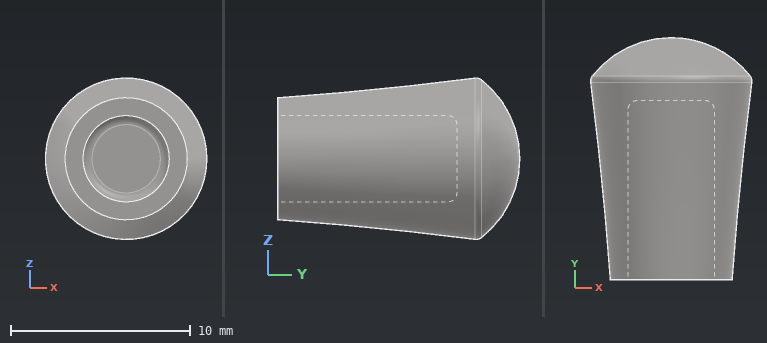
import cadquery as cq
import math

length = 13.5
rim_radius = 4.502
mouth_radius = 3.4
dome_sphere_radius = 5.6
rim_fillet_radius = 0.5
side_arc_radius = 199.8

bore_radius = 2.4
bore_depth = 9.99
bore_floor_radius = 1.9
bore_fillet_radius = bore_radius - bore_floor_radius


def point_towards(start, target, distance):
    """Point at the given distance from start on the line to target."""
    span = math.dist(start, target)
    return tuple(s + (t - s) * distance / span for s, t in zip(start, target))


def body():
    """Outer form: sphere cap, rounded rim and hollow taper, each tangent to the next."""
    apex = (0, length)
    mouth_edge = (mouth_radius, 0)
    dome_center = (0, length - dome_sphere_radius)

    rim_center_x = rim_radius - rim_fillet_radius
    rim_center_y = dome_center[1] + math.sqrt(
        (dome_sphere_radius - rim_fillet_radius) ** 2 - rim_center_x**2
    )
    rim_center = (rim_center_x, rim_center_y)

    span = math.dist(mouth_edge, rim_center)
    center_to_rim = side_arc_radius + rim_fillet_radius
    along = (side_arc_radius**2 - center_to_rim**2 + span**2) / (2 * span)
    across = math.sqrt(side_arc_radius**2 - along**2)
    unit_x = (rim_center[0] - mouth_edge[0]) / span
    unit_y = (rim_center[1] - mouth_edge[1]) / span
    side_center = (
        mouth_edge[0] + along * unit_x + across * unit_y,
        mouth_edge[1] + along * unit_y - across * unit_x,
    )

    dome_end = point_towards(dome_center, rim_center, dome_sphere_radius)
    dome_middle = point_towards(
        dome_center, (dome_end[0] / 2, (apex[1] + dome_end[1]) / 2), dome_sphere_radius
    )
    rim_end = point_towards(rim_center, side_center, rim_fillet_radius)
    rim_middle = (rim_radius, rim_center_y)
    chord_middle = ((rim_end[0] + mouth_edge[0]) / 2, (rim_end[1] + mouth_edge[1]) / 2)
    side_middle = point_towards(side_center, chord_middle, side_arc_radius)

    profile = (
        cq.Workplane("XY")
        .moveTo(*apex)
        .threePointArc(dome_middle, dome_end)
        .threePointArc(rim_middle, rim_end)
        .threePointArc(side_middle, mouth_edge)
        .lineTo(0, 0)
        .close()
    )
    return profile.revolve(360, (0, 0, 0), (0, 1, 0))


def bore():
    """Blind bore from the mouth with a rounded floor edge."""
    cylinder = cq.Workplane("XZ").circle(bore_radius).extrude(-bore_depth)
    return cylinder.faces(">Y").edges().fillet(bore_fillet_radius)


result = body().cut(bore())